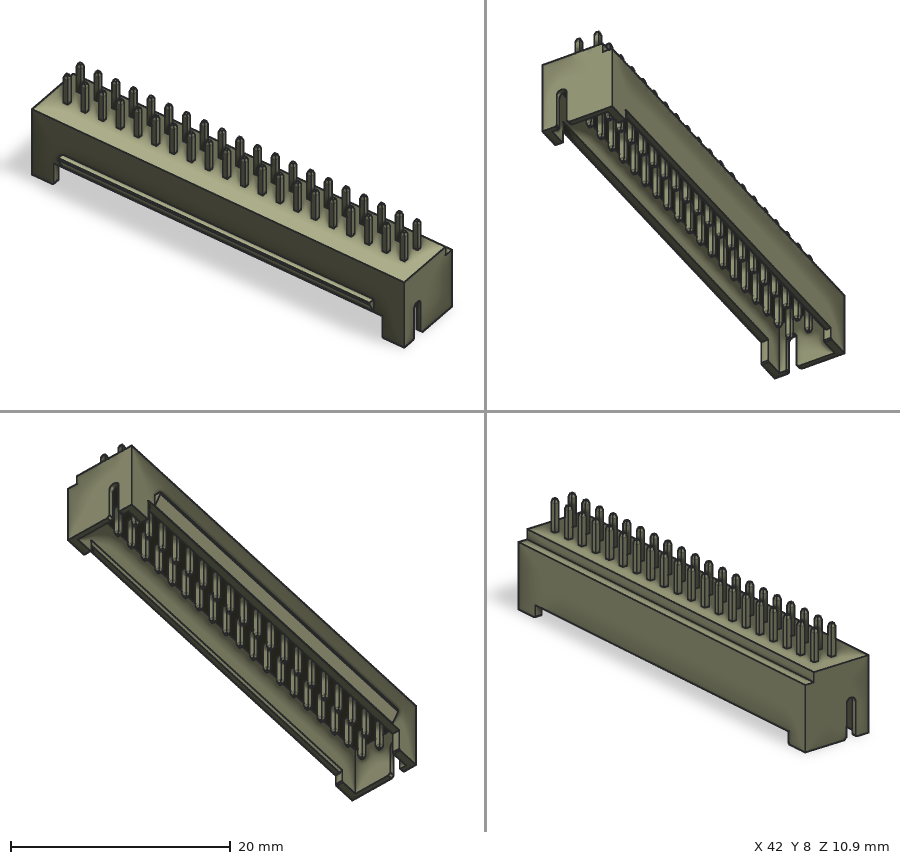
import cadquery as cq
LENGTH = 42.0
PINS_PER_ROW = 20
PITCH = LENGTH / (PINS_PER_ROW + 1)

BODY_DEPTH = 7.35
BODY_HEIGHT = 7.7
STEP_DEPTH = 1.0
STEP_HEIGHT = 1.0
LEG_WIDTH = 2.48
LEG_CHAMFER = 0.13

SIDE_WALL = 0.75
END_WALL = 0.5
CAVITY_TOP = 5.65

SLOT_FRONT = 1.5
SLOT_WIDTH = 1.05
SLOT_TOP = 4.05

LEAD_IN = 0.25

FRONT_WALL_BOTTOM = 2.5
REAR_WALL_BOTTOM = 1.25

RIDGE_INSET = 3.45
RIDGE_DEPTH = 0.65
RIDGE_HEIGHT = 1.43
RIDGE_LIP = 0.25

PIN_WIDTH = 0.5
PIN_TIP_WIDTH = 0.3
PIN_TIP_HEIGHT = 0.35
PIN_TOP = 10.9
PIN_BOTTOM = 2.23
FRONT_ROW_Y = 2.7

SLOT_BACK = SLOT_FRONT + SLOT_WIDTH
CAVITY_BACK = BODY_DEPTH - SIDE_WALL


def bar_along_x(outline, x_start, length):
    """Extrude a closed (Y, Z) outline along +X."""
    return cq.Workplane("YZ").workplane(offset=x_start).polyline(outline).close().extrude(length)


def make_shell():
    """Stepped block, hollowed from below to leave thin walls."""
    step_y = BODY_DEPTH - STEP_DEPTH
    step_z = BODY_HEIGHT - STEP_HEIGHT
    block = bar_along_x(
        [(0, 0), (0, BODY_HEIGHT), (step_y, BODY_HEIGHT), (step_y, step_z),
         (BODY_DEPTH, step_z), (BODY_DEPTH, 0)],
        0,
        LENGTH,
    )
    cavity = bar_along_x(
        [(SIDE_WALL, 0), (SIDE_WALL, CAVITY_TOP), (CAVITY_BACK, CAVITY_TOP), (CAVITY_BACK, 0)],
        END_WALL,
        LENGTH - 2 * END_WALL,
    )
    return block.cut(cavity)


def make_wall_relief():
    """Space below the two long walls, with a lead-in slope inside the rear one.

    Its ends flare out at the bottom to chamfer the inner edges of the legs.
    """
    relief = bar_along_x(
        [(0, 0), (0, FRONT_WALL_BOTTOM), (SIDE_WALL, FRONT_WALL_BOTTOM),
         (CAVITY_BACK, REAR_WALL_BOTTOM + LEAD_IN),
         (CAVITY_BACK + LEAD_IN, REAR_WALL_BOTTOM), (BODY_DEPTH, REAR_WALL_BOTTOM), (BODY_DEPTH, 0)],
        LEG_WIDTH,
        LENGTH - 2 * LEG_WIDTH,
    )
    leg_start = LENGTH - LEG_WIDTH
    flare_outline = [
        (LEG_WIDTH - LEG_CHAMFER, 0),
        (LEG_WIDTH, LEG_CHAMFER),
        (leg_start, LEG_CHAMFER),
        (leg_start + LEG_CHAMFER, 0),
    ]
    flare = cq.Workplane("XZ").polyline(flare_outline).close().extrude(-BODY_DEPTH)
    return relief.union(flare)


def make_end_slots():
    """Slots through both end walls, chamfered in front and with a lead-in slope at the rear."""
    slot_radius = SLOT_WIDTH / 2
    arc_start_z = SLOT_TOP - slot_radius
    return (
        cq.Workplane("YZ")
        .moveTo(SLOT_FRONT - LEG_CHAMFER, 0)
        .lineTo(SLOT_FRONT, LEG_CHAMFER)
        .lineTo(SLOT_FRONT, arc_start_z)
        .threePointArc((SLOT_FRONT + slot_radius, SLOT_TOP), (SLOT_BACK, arc_start_z))
        .lineTo(SLOT_BACK, LEAD_IN)
        .lineTo(SLOT_BACK + LEAD_IN, 0)
        .close()
        .extrude(LENGTH)
    )


def make_ridge():
    """Latch ridge: flat top, short vertical lip, then a slope back to the wall."""
    return bar_along_x(
        [(0, SLOT_TOP - RIDGE_HEIGHT), (-RIDGE_DEPTH, SLOT_TOP - RIDGE_LIP), (-RIDGE_DEPTH, SLOT_TOP),
         (0, SLOT_TOP)],
        RIDGE_INSET,
        LENGTH - 2 * RIDGE_INSET,
    )


def make_pin():
    """Square pin with a blunt pyramid at each end."""
    shaft_bottom = PIN_BOTTOM + PIN_TIP_HEIGHT
    shaft_top = PIN_TOP - PIN_TIP_HEIGHT

    def section(z, width):
        return cq.Workplane("XY").workplane(offset=z).rect(width, width)

    pin = section(shaft_bottom, PIN_WIDTH).extrude(shaft_top - shaft_bottom)
    for shaft_end, rise in ((shaft_top, PIN_TIP_HEIGHT), (shaft_bottom, -PIN_TIP_HEIGHT)):
        tip = section(shaft_end, PIN_WIDTH).workplane(offset=rise).rect(PIN_TIP_WIDTH, PIN_TIP_WIDTH).loft()
        pin = pin.union(tip)
    return pin


housing = make_shell().cut(make_wall_relief()).cut(make_end_slots())
result = housing.union(make_ridge())
pin = make_pin()
for column in range(1, PINS_PER_ROW + 1):
    for row_y in (FRONT_ROW_Y, FRONT_ROW_Y + PITCH):
        result = result.union(pin.translate((column * PITCH, row_y, 0)))